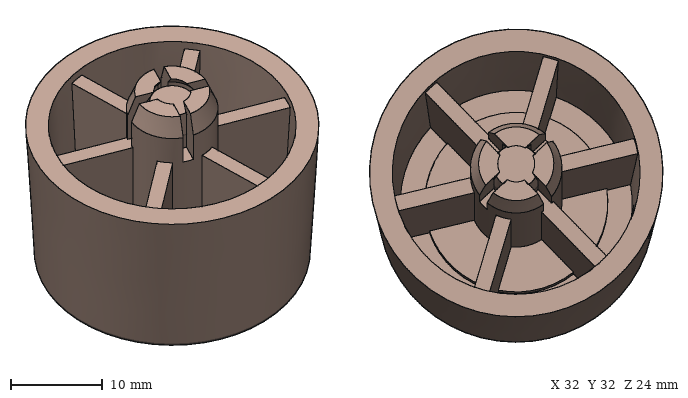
import cadquery as cq

TOTAL_HEIGHT = 24.0
TOP_RADIUS = 16.0
BASE_RADIUS = 15.05
HUB_RADIUS = 5.0
HUB_PROJECTION = 5.0
RIM_HEIGHT = TOTAL_HEIGHT - HUB_PROJECTION
WALL = 2.5
FLOOR = 2.0
STEP_RADIUS = 10.0
STEP_HEIGHT = 1.0
BASE_ROUND = 0.48
TAPER = (TOP_RADIUS - BASE_RADIUS) / RIM_HEIGHT

RIB_COUNT = 6
RIB_WIDTH = 1.73
RIB_TOP = RIM_HEIGHT - 1.0

HUB_TIP_RADIUS = 4.1
HUB_TIP_LENGTH = 2.4
SLOT_WIDTH = 1.2
MOUTH_RADIUS = 2.0

PIN_RADIUS = 2.88
PIN_TIP_RADIUS = 2.43
PIN_TOP = TOTAL_HEIGHT - 1.38
PIN_TAPER_START = PIN_TOP - 2.72
BORE_TAPER_START = TOTAL_HEIGHT - 1.25


def outer_radius(height):
    """Radius of the tapered outer side at a given height."""
    return BASE_RADIUS + TAPER * height


def inner_radius(height):
    """Radius of the tapered cavity at a given height."""
    return outer_radius(height) - WALL


def cylinder(radius, bottom, top):
    """Disc or rod standing on the Z axis."""
    return cq.Workplane("XY").workplane(offset=bottom).circle(radius).extrude(top - bottom)


def cone(bottom_radius, top_radius, bottom, top):
    """Frustum standing on the Z axis."""
    profile = [(0, bottom), (bottom_radius, bottom), (top_radius, top), (0, top)]
    return cq.Workplane("XZ").polyline(profile).close().revolve(360, (0, 0, 0), (0, 1, 0))


def make_cup():
    """Tapered cup with a rounded base edge and a raised round step on the floor."""
    body = cone(BASE_RADIUS, TOP_RADIUS, 0, RIM_HEIGHT).faces("<Z").edges().fillet(BASE_ROUND)
    cavity = cone(inner_radius(FLOOR), inner_radius(RIM_HEIGHT), FLOOR, RIM_HEIGHT)
    step = cylinder(STEP_RADIUS, FLOOR, FLOOR + STEP_HEIGHT)
    return body.cut(cavity).union(step)


def make_ribs():
    """Radial ribs, reaching halfway into the tapered wall."""
    embed = WALL / 2
    ribs = cone(inner_radius(FLOOR) + embed, inner_radius(RIB_TOP) + embed, FLOOR, RIB_TOP)
    bars = cq.Workplane("XY").workplane(offset=FLOOR).polarArray(TOP_RADIUS / 2, 90, 360, RIB_COUNT)
    return ribs.intersect(bars.rect(TOP_RADIUS, RIB_WIDTH).extrude(RIB_TOP - FLOOR))


def make_hub():
    """Round hub with a tapered tip."""
    shoulder = TOTAL_HEIGHT - HUB_TIP_LENGTH
    shaft = cylinder(HUB_RADIUS, FLOOR, shoulder)
    return shaft.union(cone(HUB_RADIUS, HUB_TIP_RADIUS, shoulder, TOTAL_HEIGHT))


def make_bore():
    """Straight bore that fits the pin shaft and narrows to the mouth above the pin."""
    straight = cylinder(PIN_RADIUS, 0, BORE_TAPER_START)
    tapered = cone(PIN_RADIUS, MOUTH_RADIUS, BORE_TAPER_START, TOTAL_HEIGHT)
    return straight.union(tapered)


def make_slots():
    """Two crossed slots that split the hub down to the tops of the ribs."""
    depth = TOTAL_HEIGHT - RIB_TOP
    plane = cq.Workplane("XY").workplane(offset=RIB_TOP)
    along_x = plane.rect(2 * HUB_RADIUS, SLOT_WIDTH).extrude(depth)
    along_y = plane.rect(SLOT_WIDTH, 2 * HUB_RADIUS).extrude(depth)
    return along_x.union(along_y)


def make_foot():
    """Cup, ribs and split hub as one body, bored for the pin."""
    return make_cup().union(make_ribs()).union(make_hub()).cut(make_bore()).cut(make_slots())


def make_pin():
    """Round pin with a tapered tip, standing on the base plane."""
    shaft = cylinder(PIN_RADIUS, 0, PIN_TAPER_START)
    return shaft.union(cone(PIN_RADIUS, PIN_TIP_RADIUS, PIN_TAPER_START, PIN_TOP))


foot = make_foot()
pin = make_pin()
result = cq.Compound.makeCompound([foot.val(), pin.val()])